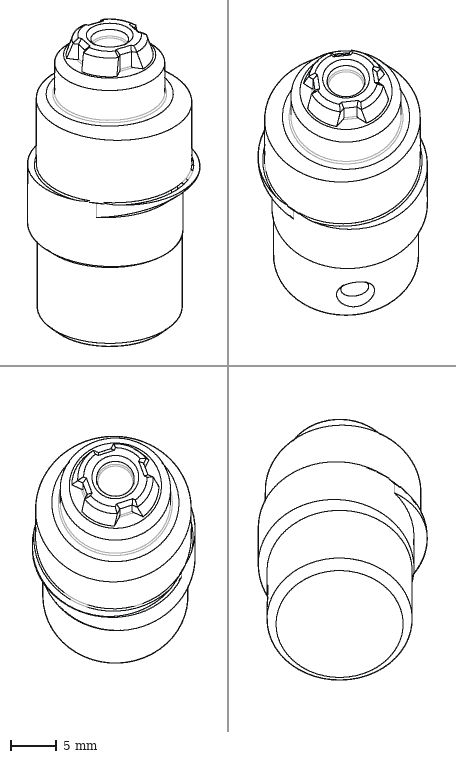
import cadquery as cq
import math

shank_diameter = 16.0
shank_radius = shank_diameter / 2
shank_chamfer = 1.0

cam_radius = 17.15 / 2
lower_cam_x = -0.5
lower_cam_bottom = 10.7
lower_cam_top = 19.2
underside_angle = 42.0

flange_radius = 8.5
flange_x = 1.5
flange_cone_bottom = 17.35

upper_cam_x = 0.5
upper_cam_top = 28.2
upper_cam_flat_radius = 7.0
upper_cam_top_angle = 25.0

neck_radius = 12.15 / 2
neck_top = 33.2
neck_chamfer = 1.0
root_fillet = 0.2

head_top = 35.7
head_base_radius = 4.8
head_top_radius = 4.0
lobe_count = 4
lobe_pitch = 360 / lobe_count
lobe_width = 4.0
core_half_width = 3.55
core_fillet = 0.15
head_chamfer = 0.5

socket_radius = 4.15 / 2
socket_depth = 1.5
socket_chamfer = 0.5
socket_floor_fillet = 0.15

hole_radius = 3.1 / 2
hole_height = 5.0
hole_angle = 135.0
countersink_radius = 2.4


def cylinder(radius, bottom, top, x=0.0):
    return cq.Workplane("XY", origin=(x, 0, bottom)).circle(radius).extrude(top - bottom)


def cone(bottom_radius, top_radius, bottom, top, x=0.0):
    solid = cq.Solid.makeCone(bottom_radius, top_radius, top - bottom, cq.Vector(x, 0, bottom))
    return cq.Workplane(solid)


def widening_cone(bottom_radius, bottom, top, x=0.0):
    """Cone that grows upwards at the underside angle."""
    growth = (top - bottom) / math.tan(math.radians(underside_angle))
    return cone(bottom_radius, bottom_radius + growth, bottom, top, x)


def root_flare(radius, height, x=0.0):
    """Ring with a concave quarter-round profile at the foot of a cylinder."""
    arc_middle = root_fillet * (1 - math.sqrt(0.5))
    profile = (
        cq.Workplane("XZ")
        .moveTo(radius - root_fillet, height)
        .lineTo(radius + root_fillet, height)
        .threePointArc((radius + arc_middle, height + arc_middle), (radius, height + root_fillet))
        .lineTo(radius - root_fillet, height + root_fillet)
        .close()
    )
    return profile.revolve(360, (0, 0, 0), (0, 1, 0)).translate((x, 0, 0))


def make_shank():
    return cylinder(shank_radius, 0, lower_cam_top).faces("<Z").chamfer(shank_chamfer)


def make_lower_cam():
    blank = cylinder(cam_radius, lower_cam_bottom, lower_cam_top, lower_cam_x)
    return blank.intersect(widening_cone(shank_radius, lower_cam_bottom, lower_cam_top))


def make_flange():
    blank = cylinder(flange_radius, flange_cone_bottom, lower_cam_top, flange_x)
    return blank.intersect(widening_cone(cam_radius, flange_cone_bottom, lower_cam_top, lower_cam_x))


def make_upper_cam():
    blank = cylinder(cam_radius, lower_cam_top, upper_cam_top, upper_cam_x)
    spread = (upper_cam_top - lower_cam_top) / math.tan(math.radians(upper_cam_top_angle))
    top_cone = cone(upper_cam_flat_radius + spread, upper_cam_flat_radius, lower_cam_top, upper_cam_top)
    return blank.intersect(top_cone)


def make_upper_cam_root():
    """Root fillet of the upper cam, kept to the face it stands on."""
    fillet_top = lower_cam_top + root_fillet
    seat = cylinder(cam_radius, lower_cam_top, fillet_top, lower_cam_x)
    seat = seat.union(cylinder(flange_radius, lower_cam_top, fillet_top, flange_x))
    return root_flare(cam_radius, lower_cam_top, upper_cam_x).intersect(seat)


def make_neck():
    neck = cylinder(neck_radius, upper_cam_top, neck_top).faces(">Z").chamfer(neck_chamfer)
    return neck.union(root_flare(neck_radius, upper_cam_top))


def make_head():
    height = head_top - neck_top
    plane = cq.Workplane("XY", origin=(0, 0, neck_top))
    core = plane.rect(2 * core_half_width, 2 * core_half_width).extrude(height)
    foot_width = 2 * (core_half_width + core_fillet)
    foot = plane.rect(foot_width, foot_width).extrude(core_fillet)
    for turn in range(lobe_count):
        groove = (
            cq.Workplane("XZ", origin=(core_half_width + core_fillet, 0, neck_top + core_fillet))
            .circle(core_fillet)
            .extrude(foot_width, both=True)
        )
        foot = foot.cut(groove.rotate((0, 0, 0), (0, 0, 1), lobe_pitch * turn))
    head = core.union(foot).rotate((0, 0, 0), (0, 0, 1), lobe_pitch / 2)
    for size in ((2 * head_base_radius, lobe_width), (lobe_width, 2 * head_base_radius)):
        head = head.union(plane.rect(*size).extrude(height))
    head = head.intersect(cone(head_base_radius, head_top_radius, neck_top, head_top))
    return head.faces(">Z").chamfer(head_chamfer)


def make_socket():
    floor = head_top - socket_depth
    bore = cylinder(socket_radius, floor, head_top).faces("<Z").edges().fillet(socket_floor_fillet)
    entry = cone(socket_radius, socket_radius + socket_chamfer, head_top - socket_chamfer, head_top)
    return bore.union(entry)


def make_radial_hole():
    angle = math.radians(hole_angle)
    outward = cq.Vector(math.cos(angle), math.sin(angle), 0)
    axis_point = cq.Vector(0, 0, hole_height)
    drill = cq.Solid.makeCylinder(hole_radius, shank_radius, axis_point, outward)
    sink_depth = countersink_radius - hole_radius
    sink_start = axis_point + outward * (shank_radius - sink_depth)
    sink_length = 2 * sink_depth
    sink = cq.Solid.makeCone(hole_radius, hole_radius + sink_length, sink_length, sink_start, outward)
    return cq.Workplane(drill).union(cq.Workplane(sink))


result = (
    make_shank()
    .union(make_lower_cam())
    .union(make_flange())
    .union(make_upper_cam())
    .union(make_upper_cam_root())
    .union(make_neck())
    .union(make_head())
    .cut(make_socket())
    .cut(make_radial_hole())
)